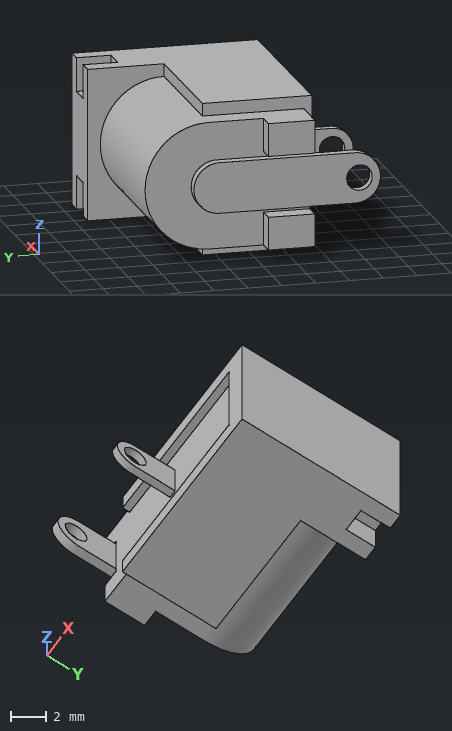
import cadquery as cq


barrel_radius = 3.75
shell_height = 9.0
shell_length = 12.0
shell_start = 1.38
flange_thickness = 3.51
flange_rise = shell_height / 2
shell_drop = 6.48
shell_end = shell_start + shell_length

recess_depth = 0.5
frame_width = 1.32
recess_floor = -shell_drop + recess_depth

tab_length = 1.12
tab_width = 2.75
tab_gap = 3.61

notch_width = 1.5
notch_reach = 2.03
notch_depth = 2.0
notch_margin = 1.02

overall_depth = 14.5
terminal_tip = flange_rise - overall_depth
terminal_hole_diameter = 1.5
hole_inset = 1.25
rear_terminal_thickness = 0.61
rear_terminal_width = 3.0
rear_terminal_top = 1.03
front_terminal_thickness = 0.51
front_terminal_width = 2 * hole_inset
front_terminal_offset = 4.07


def block(x_range, y_range, z_range):
    """Box between the given limits."""
    sizes = [high - low for low, high in (x_range, y_range, z_range)]
    corner = (x_range[0], y_range[0], z_range[0])
    return cq.Workplane("XY").box(*sizes, centered=False).translate(corner)


def symmetric(height):
    """Limits of a height centred on the barrel axis."""
    return (-height / 2, height / 2)


def make_shell():
    """Rectangular shell with a taller flange at the mating end."""
    lower = block((shell_start, shell_end), (-shell_drop, 0), symmetric(shell_height))
    flange = block(
        (shell_end - flange_thickness, shell_end),
        (-shell_drop, flange_rise),
        symmetric(shell_height),
    )
    recess = block(
        (shell_start, shell_end - frame_width),
        (-shell_drop, recess_floor),
        symmetric(shell_height - 2 * frame_width),
    )
    return lower.union(flange).cut(recess)


def make_barrel():
    """Round-backed barrel with straight sides down to the recess floor."""
    barrel_end = shell_end - flange_thickness
    cylinder = cq.Workplane("YZ").circle(barrel_radius).extrude(barrel_end)
    sides = block((0, barrel_end), (recess_floor, 0), symmetric(2 * barrel_radius))
    return cylinder.union(sides)


def make_tabs():
    """Two tabs behind the barrel, separated by the terminal gap."""
    tab_y = (recess_floor, recess_floor + tab_width)
    tabs = block((-tab_length, 0), tab_y, symmetric(2 * barrel_radius))
    gap = block((-tab_length, 0), tab_y, symmetric(tab_gap))
    return tabs.cut(gap)


def make_notch(side):
    """Cutter for a blind flange notch on the +Z (side = 1) or -Z (side = -1) face."""
    notch_end = shell_end - notch_margin
    notch_z = sorted((side * shell_height / 2, side * (shell_height / 2 - notch_depth)))
    return block((notch_end - notch_width, notch_end), (flange_rise - notch_reach, flange_rise), notch_z)


def make_housing():
    housing = make_shell().union(make_barrel()).union(make_tabs())
    for side in (1, -1):
        housing = housing.cut(make_notch(side))
    return housing


def terminal_blank(x_start, thickness, width, top):
    """Flat strip from top down to a rounded tip with a hole."""
    radius = width / 2
    tip_centre = terminal_tip + radius
    strip = block((x_start, x_start + thickness), (tip_centre, top), symmetric(width))
    plane = cq.Workplane("YZ", origin=(x_start, 0, 0))
    tip = plane.center(tip_centre, 0).circle(radius).extrude(thickness)
    hole = plane.center(terminal_tip + hole_inset, 0).circle(terminal_hole_diameter / 2).extrude(thickness)
    return strip.union(tip).cut(hole)


def make_rear_terminal():
    """Strip lying on the rear face of the barrel, rounded at both ends."""
    radius = rear_terminal_width / 2
    top_centre = rear_terminal_top - radius
    x_start = -rear_terminal_thickness
    strip = terminal_blank(x_start, rear_terminal_thickness, rear_terminal_width, top_centre)
    plane = cq.Workplane("YZ", origin=(x_start, 0, 0))
    round_top = plane.center(top_centre, 0).circle(radius).extrude(rear_terminal_thickness)
    return strip.union(round_top)


def make_front_terminal():
    """Strip standing on the recess floor."""
    x_start = shell_start + front_terminal_offset
    return terminal_blank(x_start, front_terminal_thickness, front_terminal_width, recess_floor)


housing = make_housing()
rear_terminal = make_rear_terminal()
front_terminal = make_front_terminal()

result = cq.Compound.makeCompound([housing.val(), rear_terminal.val(), front_terminal.val()])